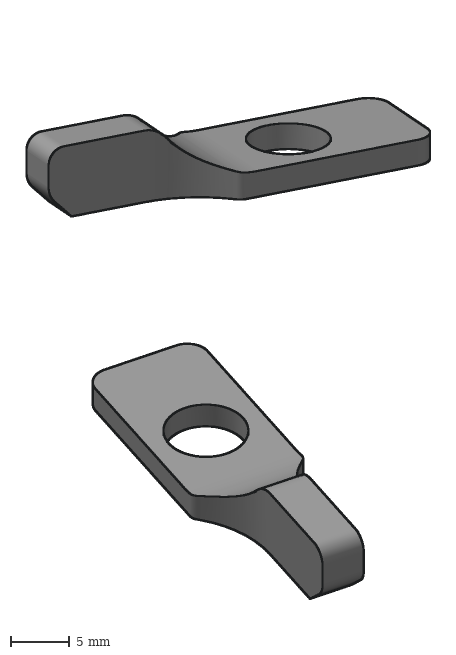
import cadquery as cq
import math

LENGTH = 36.15
WIDTH = 11.0
HEIGHT = 6.6

PLATE_THICKNESS = 2.4
PLATE_START_Y = 18.55
PLATE_CORNER_RADIUS = 2.0
HOLE_DIAMETER = 7.3
HOLE_Y = 24.47

TAIL_WIDTH = 4.05
TAIL_END_Y = 9.33
TIP_TOP_RADIUS = 1.5
TIP_CHAMFER = 2.25
TIP_BOTTOM_RADIUS = 2.0

CREST_RADIUS = 2.68

FLARE_RADIUS = 10.0
FLARE_ANGLE = math.radians(45)
SHOULDER_RADIUS = 1.0


def arc_offset(radius, angle):
    """Travel along and away from the starting tangent after turning by angle."""
    return radius * math.sin(angle), radius * (1 - math.cos(angle))


def side_body():
    """Side profile in the YZ plane, extruded across the full width."""
    ramp_length = PLATE_START_Y - TAIL_END_Y
    ramp_drop = HEIGHT - PLATE_THICKNESS
    ramp_angle = 2 * math.atan2(ramp_drop, ramp_length)
    sweep_radius = ramp_length / math.sin(ramp_angle) - CREST_RADIUS

    crest_mid_y, crest_mid_drop = arc_offset(CREST_RADIUS, ramp_angle / 2)
    crest_end_y, crest_end_drop = arc_offset(CREST_RADIUS, ramp_angle)
    sweep_mid_y, sweep_mid_rise = arc_offset(sweep_radius, ramp_angle / 2)

    body = (
        cq.Workplane("YZ")
        .moveTo(TIP_CHAMFER, 0)
        .lineTo(LENGTH, 0)
        .lineTo(LENGTH, PLATE_THICKNESS)
        .lineTo(PLATE_START_Y, PLATE_THICKNESS)
        .threePointArc(
            (PLATE_START_Y - sweep_mid_y, PLATE_THICKNESS + sweep_mid_rise),
            (TAIL_END_Y + crest_end_y, HEIGHT - crest_end_drop),
        )
        .threePointArc(
            (TAIL_END_Y + crest_mid_y, HEIGHT - crest_mid_drop),
            (TAIL_END_Y, HEIGHT),
        )
        .lineTo(0, HEIGHT)
        .lineTo(0, TIP_CHAMFER)
        .close()
        .extrude(WIDTH / 2, both=True)
    )
    tip_top = cq.selectors.NearestToPointSelector((0, 0, HEIGHT))
    tip_bottom = cq.selectors.NearestToPointSelector((0, 0, TIP_CHAMFER))
    body = body.edges(tip_top).fillet(TIP_TOP_RADIUS)
    return body.edges(tip_bottom).fillet(TIP_BOTTOM_RADIUS)


def half_plan():
    """Outline of the +X half seen from above, extruded to the full height."""
    tail_x = TAIL_WIDTH / 2
    side_x = WIDTH / 2
    flare_mid_y, flare_mid_x = arc_offset(FLARE_RADIUS, FLARE_ANGLE / 2)
    flare_end_y, flare_end_x = arc_offset(FLARE_RADIUS, FLARE_ANGLE)
    corner_mid_y, corner_mid_x = arc_offset(SHOULDER_RADIUS, FLARE_ANGLE / 2)
    corner_end_y, corner_end_x = arc_offset(SHOULDER_RADIUS, FLARE_ANGLE)

    shoulder_x = side_x - corner_end_x
    shoulder_run = shoulder_x - (tail_x + flare_end_x)
    shoulder_y = TAIL_END_Y + flare_end_y + shoulder_run / math.tan(FLARE_ANGLE)
    side_start_y = shoulder_y + corner_end_y

    return (
        cq.Workplane("XY")
        .moveTo(0, 0)
        .lineTo(tail_x, 0)
        .lineTo(tail_x, TAIL_END_Y)
        .threePointArc(
            (tail_x + flare_mid_x, TAIL_END_Y + flare_mid_y),
            (tail_x + flare_end_x, TAIL_END_Y + flare_end_y),
        )
        .lineTo(shoulder_x, shoulder_y)
        .threePointArc(
            (side_x - corner_mid_x, side_start_y - corner_mid_y),
            (side_x, side_start_y),
        )
        .lineTo(side_x, LENGTH)
        .lineTo(0, LENGTH)
        .close()
        .extrude(HEIGHT)
        .edges("|Z and >X and >Y")
        .fillet(PLATE_CORNER_RADIUS)
    )


def plate_hole():
    return (
        cq.Workplane("XY")
        .center(0, HOLE_Y)
        .circle(HOLE_DIAMETER / 2)
        .extrude(PLATE_THICKNESS)
    )


right_half = half_plan()
plan = right_half.union(right_half.mirror("YZ")).clean()
result = side_body().intersect(plan).cut(plate_hole())